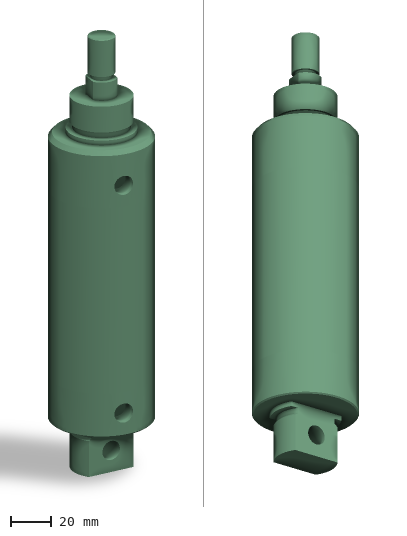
import cadquery as cq

body_radius = 26.48
rear_cap_z = 25.7
barrel_bottom_z = 49.0
barrel_top_z = 147.6
front_cap_z = 177.7

front_chamfer_width = 2.0
front_chamfer_height = 2.3
rear_chamfer = 0.7

boss_radius = 15.8
undercut_radius = 14.5
flange_radius = 17.77
flange_height = 2.5
undercut_height = 3.5
boss_top_z = 197.4

undercut_straight = 2.8
tang_thickness = 18.3
tang_turn = 6.5
pin_hole_radius = 5.0
pin_hole_z = 11.5

port_radius = 5.0
port_depth = 9.2
front_port_z = 158.9
rear_port_z = 37.8

rod_radius = 8.0
rod_across_flats = 13.3
flats_top_z = 207.0
rod_neck_radius = 5.5
thread_bottom_z = 209.5
thread_radius = 6.9
thread_tip_chamfer = 0.5
rod_top_z = 229.2


def cylinder(radius, bottom, top):
    """Solid cylinder on the Z axis between two heights."""
    return cq.Workplane("XY").workplane(offset=bottom).circle(radius).extrude(top - bottom)


def revolved(profile):
    """Turn a closed radius-height outline about the Z axis."""
    return cq.Workplane("XZ").polyline(profile).close().revolve(360, (0, 0), (0, 1))


def port(height):
    """Blind port cutter running inward from the +X side."""
    floor_x = body_radius - port_depth
    return (
        cq.Workplane("YZ").workplane(offset=floor_x)
        .center(0, height).circle(port_radius).extrude(2 * port_depth)
    )


def make_front_cap():
    flange_top = front_cap_z + flange_height
    boss_bottom = flange_top + undercut_height
    cap = revolved([
        (0, barrel_top_z),
        (body_radius, barrel_top_z),
        (body_radius, front_cap_z - front_chamfer_height),
        (body_radius - front_chamfer_width, front_cap_z),
        (flange_radius, front_cap_z),
        (flange_radius, flange_top),
        (undercut_radius, flange_top),
        (undercut_radius, boss_bottom),
        (boss_radius, boss_bottom),
        (boss_radius, boss_top_z),
        (0, boss_top_z),
    ])
    rod_bore = cylinder(rod_radius, barrel_top_z, boss_top_z)
    return cap.cut(rod_bore).cut(port(front_port_z))


def make_barrel():
    return cylinder(body_radius, barrel_bottom_z, barrel_top_z)


def make_tang():
    """Flattened rear boss with its flange, conical-ended undercut and pin hole."""
    flange_bottom = rear_cap_z - flange_height
    cone_top = flange_bottom - undercut_straight
    cone_bottom = cone_top - (boss_radius - undercut_radius)
    turned = revolved([
        (0, 0),
        (boss_radius, 0),
        (boss_radius, cone_bottom),
        (undercut_radius, cone_top),
        (undercut_radius, flange_bottom),
        (flange_radius, flange_bottom),
        (flange_radius, rear_cap_z),
        (0, rear_cap_z),
    ])
    between_flats = cq.Workplane("XY").rect(tang_thickness, 2 * flange_radius).extrude(rear_cap_z)
    pin_hole = (
        cq.Workplane("YZ").center(0, pin_hole_z).circle(pin_hole_radius)
        .extrude(tang_thickness, both=True)
    )
    return turned.intersect(between_flats).cut(pin_hole).rotate((0, 0, 0), (0, 0, 1), tang_turn)


def make_rear_cap():
    cap = cylinder(body_radius, rear_cap_z, barrel_bottom_z).faces("<Z").chamfer(rear_chamfer)
    return cap.union(make_tang()).cut(port(rear_port_z))


def make_rod():
    shank = cylinder(rod_radius, barrel_top_z, boss_top_z)
    between_flats = (
        cq.Workplane("XY").workplane(offset=boss_top_z)
        .rect(2 * rod_radius, rod_across_flats).extrude(flats_top_z - boss_top_z)
    )
    wrench_section = cylinder(rod_radius, boss_top_z, flats_top_z).intersect(between_flats)
    neck = cylinder(rod_neck_radius, flats_top_z, thread_bottom_z)
    thread = cylinder(thread_radius, thread_bottom_z, rod_top_z).faces(">Z").chamfer(thread_tip_chamfer)
    return shank.union(wrench_section).union(neck).union(thread)


front_cap = make_front_cap()
barrel = make_barrel()
rear_cap = make_rear_cap()
rod = make_rod()

result = cq.Compound.makeCompound([front_cap.val(), barrel.val(), rear_cap.val(), rod.val()])